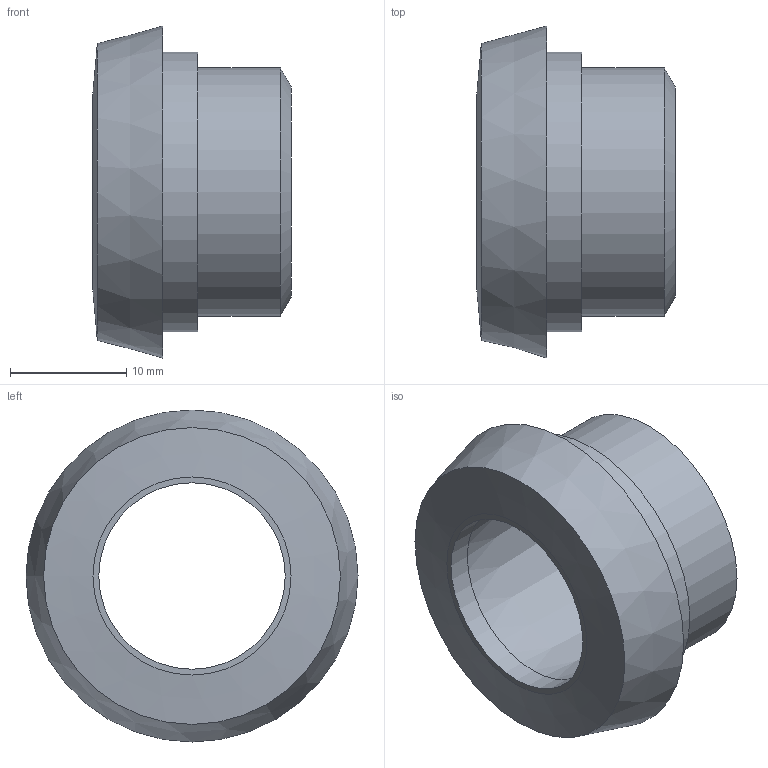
import cadquery as cq
import math

total_length = 17.0
flange_length = 6.0
collar_length = 3.0

flange_diameter = 28.5
collar_diameter = 24.0
spigot_diameter = 21.3
bore_diameter = 16.0
flat_ring_diameter = 17.0
spigot_end_diameter = 18.1

flange_taper_angle = 15.0
face_angle = 5.0
bore_taper_angle = 4.0
end_chamfer_angle = 30.0

collar_end = flange_length + collar_length
face_slope = math.tan(math.radians(face_angle))
flange_slope = math.tan(math.radians(flange_taper_angle))
bore_slope = math.tan(math.radians(bore_taper_angle))
end_chamfer_slope = math.tan(math.radians(end_chamfer_angle))

flange_radius = flange_diameter / 2
flat_ring_radius = flat_ring_diameter / 2
rim_x = (
    face_slope
    * (flange_radius - flange_length * flange_slope - flat_ring_radius)
    / (1 - face_slope * flange_slope)
)
rim_radius = flange_radius - (flange_length - rim_x) * flange_slope

end_chamfer_length = (spigot_diameter - spigot_end_diameter) / 2 * end_chamfer_slope

bore_taper_length = (spigot_end_diameter - bore_diameter) / 2 / bore_slope
bore_land_length = total_length - bore_taper_length


def half_section():
    """Half section of the bush: x along the axis, y as radius."""
    return (
        cq.Workplane("XY")
        .moveTo(0, bore_diameter / 2)
        .lineTo(0, flat_ring_radius)
        .lineTo(rim_x, rim_radius)
        .lineTo(flange_length, flange_radius)
        .lineTo(flange_length, collar_diameter / 2)
        .lineTo(collar_end, collar_diameter / 2)
        .lineTo(collar_end, spigot_diameter / 2)
        .lineTo(total_length - end_chamfer_length, spigot_diameter / 2)
        .lineTo(total_length, spigot_end_diameter / 2)
        .lineTo(bore_land_length, bore_diameter / 2)
        .close()
    )


result = half_section().revolve(360, (0, 0, 0), (1, 0, 0))